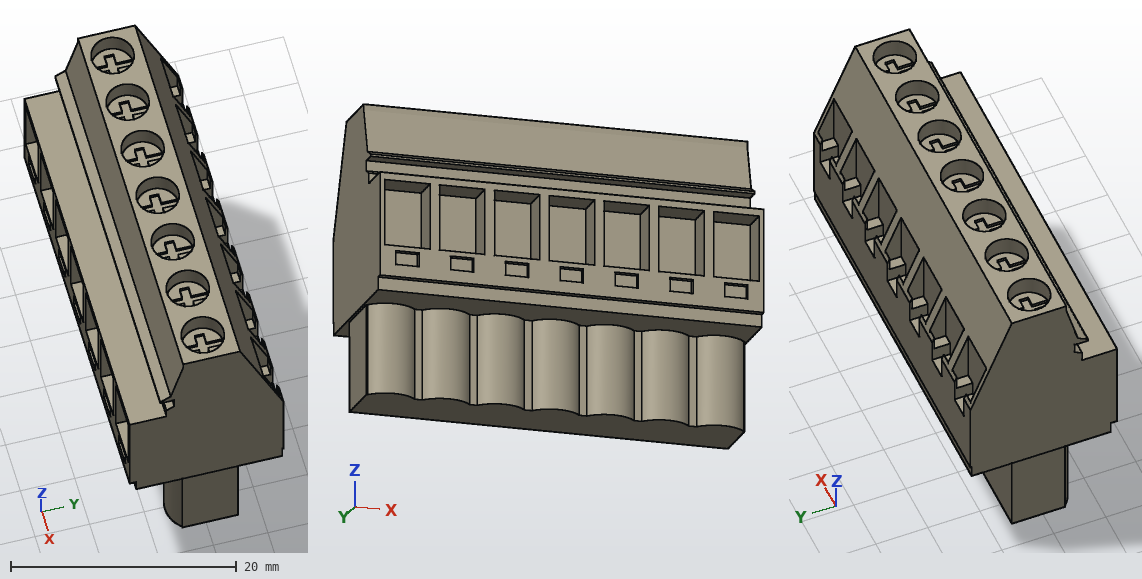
import cadquery as cq


length = 35.55
pole_count = 7
pitch = length / pole_count
pole_centres = [(i - (pole_count - 1) / 2) * pitch for i in range(pole_count)]

base_z = 8.4
step_z = 9.55
ledge_z = 19.2
top_z = 27.1

depth = 14.1
front_step = 0.6
back_step = 0.1
top_front_y = 4.9
top_back_y = 10.15
back_slope_z = 17.25
front_slope_z = 26.53

rib_root_y = 3.77
rib_root_z = 22.3
rib_tip_y = 2.8
rib_tip_z = 21.75
groove_top_z = 21.55
groove_y = 4.1
groove_bottom_z = 20.6
groove_lip_y = 3.38
groove_lip_z = 20.15

plug_length = 35.05
plug_front_y = 4.9
plug_back_y = 10.03
column_width = 4.37
column_bulge = 1.0

latch_width = pitch
latch_root_back_y = 13.4
latch_root_front_y = 11.3
latch_bend_y = 12.85
latch_bend_z = 5.12
latch_tip_y = 11.4
latch_tip_z = 3.7
latch_barb_y = 10.95
latch_barb_z = 4.75
latch_neck_y = 11.77
latch_neck_bottom_z = 5.48
latch_neck_top_z = 7.22

entry_width = 4.2
entry_bottom_z = 12.45
entry_height = 6.08
entry_depth = 2.7
window_width = 2.15
window_bottom_z = 10.7
window_height = 1.28
window_depth = 0.5

pocket_width = 4.12
pocket_front_y = depth - 1.75
pocket_wall = 0.2
pocket_floor_z = 16.35
slot_width = 2.15
slot_floor_z = 14.95

screw_y = 7.4
screw_diameter = 3.8
screw_recess = 1.85
screw_length = 3.55
cross_depth = 0.3
long_slot_width = 0.57
short_slot_width = 0.82
short_slot_length = 2.5

screw_top_z = top_z - screw_recess
screw_bottom_z = screw_top_z - screw_length


def box(x_centre, width, y_min, y_max, z_min, z_max):
    """Box centred on x_centre along X, with the given limits along Y and Z."""
    return (
        cq.Workplane("XY")
        .box(width, y_max - y_min, z_max - z_min, centered=(True, False, False))
        .translate((x_centre, y_min, z_min))
    )


def prism(yz_points, width):
    """Extrude a (Y, Z) outline along X, centred on X = 0."""
    return cq.Workplane("YZ").polyline(yz_points).close().extrude(width / 2, both=True)


def screw_cylinder(x, z_min, z_max):
    """Upright cylinder of the screw diameter on the screw axis of the pole at x."""
    return (
        cq.Workplane("XY", origin=(x, screw_y, z_min))
        .circle(screw_diameter / 2)
        .extrude(z_max - z_min)
    )


def make_shell():
    """Solid main block with the stepped base, sloped top, rib and groove."""
    outline = [
        (front_step, base_z),
        (depth - back_step, base_z),
        (depth - back_step, step_z),
        (depth, step_z),
        (depth, back_slope_z),
        (top_back_y, top_z),
        (top_front_y, top_z),
        (top_front_y, front_slope_z),
        (rib_root_y, rib_root_z),
        (rib_tip_y, rib_tip_z),
        (rib_tip_y, groove_top_z),
        (groove_y, groove_top_z),
        (groove_y, groove_bottom_z),
        (groove_lip_y, groove_lip_z),
        (groove_lip_y, ledge_z),
        (0, ledge_z),
        (0, step_z),
        (front_step, step_z),
    ]
    return prism(outline, length)


def make_plug():
    """Plug bar whose front carries a shallow arc for each pole."""
    half_column = column_width / 2
    outline = cq.Workplane("XY").moveTo(-plug_length / 2, plug_back_y)
    outline = outline.lineTo(-plug_length / 2, plug_front_y)
    for x in pole_centres:
        outline = outline.lineTo(x - half_column, plug_front_y)
        outline = outline.threePointArc((x, plug_front_y - column_bulge), (x + half_column, plug_front_y))
    outline = outline.lineTo(plug_length / 2, plug_front_y).lineTo(plug_length / 2, plug_back_y)
    return outline.close().extrude(base_z)


def make_latch():
    """Hook at mid-length, hanging from the base behind the plug, its tip turned toward the plug."""
    outline = [
        (latch_root_back_y, base_z),
        (latch_bend_y, latch_bend_z),
        (latch_tip_y, latch_tip_z),
        (latch_barb_y, latch_barb_z),
        (latch_neck_y, latch_neck_bottom_z),
        (latch_neck_y, latch_neck_top_z),
        (latch_root_front_y, base_z),
    ]
    return prism(outline, latch_width)


def make_pole_cavities(x):
    """Everything cut from the housing at one pole."""
    entry = box(x, entry_width, 0, entry_depth, entry_bottom_z, entry_bottom_z + entry_height)
    window = box(x, window_width, 0, window_depth, window_bottom_z, window_bottom_z + window_height)
    pocket = box(x, pocket_width, pocket_front_y, depth - pocket_wall, pocket_floor_z, top_z)
    slot = box(x, slot_width, pocket_front_y, depth, slot_floor_z, top_z)
    bore = screw_cylinder(x, screw_bottom_z, top_z)
    return [entry, window, pocket, slot, bore]


def make_housing():
    housing = make_shell().union(make_plug()).union(make_latch())
    for x in pole_centres:
        for cavity in make_pole_cavities(x):
            housing = housing.cut(cavity)
    return housing


def make_screw(x):
    """Clamping screw at one pole, with a cross slot in its head."""
    radius = screw_diameter / 2
    slot_z = screw_top_z - cross_depth
    short_half = short_slot_width / 2
    screw = screw_cylinder(x, screw_bottom_z, screw_top_z)
    long_slot = box(x, long_slot_width, screw_y - radius, screw_y + radius, slot_z, screw_top_z)
    short_slot = box(x, short_slot_length, screw_y - short_half, screw_y + short_half, slot_z, screw_top_z)
    return screw.cut(long_slot).cut(short_slot)


housing = make_housing()
screws = [make_screw(x) for x in pole_centres]
result = cq.Compound.makeCompound([housing.val(), *[screw.val() for screw in screws]])